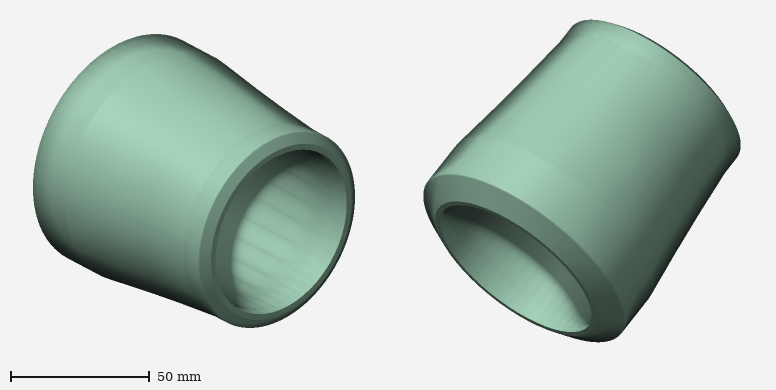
import cadquery as cq

length = 90.0
large_diameter = 88.9
small_diameter = 76.1
large_bore = 66.9
small_bore = 63.5

taper_start = 23.2
taper_end = 80.0
bore_taper_start = 14.85
bore_taper_end = taper_end

large_face_width = 2.0
small_face_width = 2.25
bevel_run_per_rise = 0.577
bevel_edge_radius = 1.0
taper_hollow = 0.4

large_radius = large_diameter / 2
small_radius = small_diameter / 2
large_bore_radius = large_bore / 2
small_bore_radius = small_bore / 2
large_face_radius = large_bore_radius + large_face_width
small_face_radius = small_bore_radius + small_face_width
large_bevel_length = (large_radius - large_face_radius) * bevel_run_per_rise
small_bevel_length = (small_radius - small_face_radius) * bevel_run_per_rise
taper_middle = (
    (taper_start + taper_end) / 2,
    (large_radius + small_radius) / 2 - taper_hollow,
)

wall_section = (
    cq.Workplane("XY")
    .moveTo(0, large_bore_radius)
    .lineTo(0, large_face_radius)
    .lineTo(large_bevel_length, large_radius)
    .lineTo(taper_start, large_radius)
    .threePointArc(taper_middle, (taper_end, small_radius))
    .lineTo(length - small_bevel_length, small_radius)
    .lineTo(length, small_face_radius)
    .lineTo(length, small_bore_radius)
    .lineTo(bore_taper_end, small_bore_radius)
    .lineTo(bore_taper_start, large_bore_radius)
    .close()
)
sleeve = wall_section.revolve(360, (0, 0, 0), (1, 0, 0))


def bevel_edge(axial_place, radius):
    """Select the circular edge where a bevel meets the outside."""
    tolerance = 0.1
    return cq.selectors.BoxSelector(
        (axial_place - tolerance, -radius, -radius),
        (axial_place + tolerance, radius, radius),
    )


sleeve = sleeve.edges(bevel_edge(large_bevel_length, large_radius)).fillet(bevel_edge_radius)
sleeve = sleeve.edges(bevel_edge(length - small_bevel_length, small_radius)).fillet(bevel_edge_radius)

result = sleeve